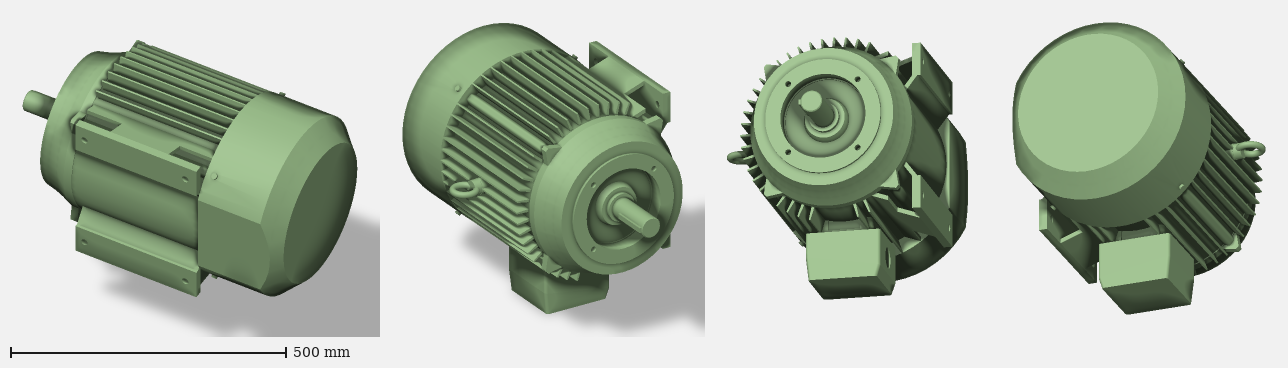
import cadquery as cq
import math


key_start = 2.0
key_end = 74.5
rim_front = 94.0
collar_front = 101.0
shield_front = 99.5
flange_front = 160.0
frame_front = 176.5
fin_front = 181.0
foot_front = 190.0
cover_front = 442.0
cover_bevel_start = 572.0
motor_end = 610.5

shaft_radius = 20.0
shaft_chamfer = key_start
collar_radius = 27.5
key_width = 10.0
key_top = 24.0

rim_radius = 107.5
shield_front_radius = 130.0
shield_middle_radius = 138.0
flange_radius = 151.0
recess_radius = 79.5
recess_step_radius = 77.0
recess_depth = 27.5
recess_step_depth = 29.5
hub_tip_radius = 37.0
hub_root_radius = 42.0
hub_length = 14.5
mount_hole_circle_radius = 91.5
mount_hole_diameter = 11.0
mount_hole_depth = 18.5

frame_radius = 149.0
outer_radius = 174.5
fin_root_radius = 143.5
fin_root_width = 6.0
fin_tip_width = 3.0
fin_pitch = 7.5
last_fin_angle = 112.5
box_clearance_angle = 10.0
diagonals = (45, 135, 225, 315)
lug_root_radius = 143.5
shield_lug_root_width = 51.0
shield_lug_tip_width = 7.5
shield_lug_tip_radius = 174.0
shield_lug_back = 174.5
frame_lug_root_width = 28.0
frame_lug_tip_width = 13.5
frame_lug_tip_radius = 160.5
frame_lug_rounding = 5.0

cover_end_radius = 136.0
cover_flat_y = -154.5
screw_x = 460.5
screw_diameter = 11.0
screw_tip_radius = 179.5

foot_bottom = -160.0
pad_thickness = 16.0
pad_inner_z = 95.0
pad_outer_z = 156.5
web_thickness = 8.0
web_root_y = -71.5
web_root_z = 131.0
window_y = -101.5
web_front = 254.0
web_back = 375.0
foot_hole_x = (209.0, 419.0)
foot_hole_z = 127.0
foot_hole_diameter = 13.5
brace_outer_y = -154.0
brace_root_y = -129.5
brace_root_z = 63.5

box_x = 315.0
box_length = 128.0
box_width = 139.0
box_top = -172.0
box_bottom = -261.0
box_corner = 5.5
lid_seam_upper = -217.5
lid_seam_lower = -240.0
lid_length = 125.0
lid_bottom_upper_y = 65.0
lid_bottom_lower_y = -63.0
knockout_radius = 19.5
knockout_depth = 3.0
knockout_z = -209.5
neck_length = 105.0
neck_corner = 21.5
neck_height = 33.5
neck_taper = 8.0
neck_panel_width = 58.5
neck_panel_bottom = -165.5
neck_panel_distance = 47.5

eye_ring_radius = 21.5
eye_rod_radius = 6.0
eye_center_y = 203.0
eye_collar_radius = 14.5
eye_collar_top = 188.0
eye_boss_radius = 15.0
eye_boss_top = 173.5

pad_top = foot_bottom + pad_thickness
pad_width = pad_outer_z - pad_inner_z
recess_floor = rim_front + recess_step_depth
hub_tip = recess_floor - hub_length


def turned(points):
    """Solid of revolution about the X axis from (x, radius) points."""
    return cq.Workplane("XY").polyline(points).close().revolve(360, (0, 0, 0), (1, 0, 0))


def along_axis(points, start, end):
    """Prism along X from a closed outline of (y, z) points."""
    return cq.Workplane("YZ", origin=(start, 0, 0)).polyline(points).close().extrude(end - start)


def around_axis(solid, angle):
    """Turns a solid about the shaft axis, from +Y towards +Z."""
    return solid.rotate((0, 0, 0), (1, 0, 0), angle)


def tapered_rib(root_radius, root_width, tip_radius, tip_width, start, end):
    """Lengthwise rib standing out in the +Y direction, narrower at its tip."""
    outline = [
        (root_radius, -root_width / 2),
        (tip_radius, -tip_width / 2),
        (tip_radius, tip_width / 2),
        (root_radius, root_width / 2),
    ]
    return along_axis(outline, start, end)


def make_shaft():
    """Output shaft with its collar seated on the hub and its key on the +Y side."""
    shaft = turned(
        [
            (0, 0),
            (0, shaft_radius - shaft_chamfer),
            (shaft_chamfer, shaft_radius),
            (collar_front, shaft_radius),
            (collar_front, collar_radius),
            (hub_tip, collar_radius),
            (hub_tip, 0),
        ]
    )
    key = cq.Workplane("XY").box(key_end - key_start, key_top, key_width, centered=(False, False, True))
    return shaft.union(key.translate((key_start, 0, 0)))


def make_end_shield():
    """Flared end shield with a raised rim, a stepped recess, a hub and mounting holes."""
    shield = (
        cq.Workplane("XY")
        .moveTo(rim_front, 0)
        .lineTo(rim_front, rim_radius)
        .lineTo(shield_front, rim_radius)
        .lineTo(shield_front, shield_front_radius)
        .threePointArc(((shield_front + flange_front) / 2, shield_middle_radius), (flange_front, flange_radius))
        .lineTo(frame_front, flange_radius)
        .lineTo(frame_front, 0)
        .close()
        .revolve(360, (0, 0, 0), (1, 0, 0))
    )
    recess = turned(
        [
            (rim_front, 0),
            (rim_front, recess_radius),
            (rim_front + recess_depth, recess_radius),
            (rim_front + recess_depth, recess_step_radius),
            (recess_floor, recess_step_radius),
            (recess_floor, hub_root_radius),
            (hub_tip, hub_tip_radius),
            (hub_tip, 0),
        ]
    )
    holes = (
        cq.Workplane("YZ", origin=(rim_front, 0, 0))
        .polarArray(mount_hole_circle_radius, diagonals[0], 360, len(diagonals))
        .circle(mount_hole_diameter / 2)
        .extrude(mount_hole_depth)
    )
    shield = shield.cut(recess).cut(holes)
    lug = tapered_rib(
        lug_root_radius,
        shield_lug_root_width,
        shield_lug_tip_radius,
        shield_lug_tip_width,
        flange_front,
        shield_lug_back,
    )
    for angle in diagonals:
        shield = shield.union(around_axis(lug, angle))
    return shield


def make_frame():
    """Finned frame with a lengthwise lug on each diagonal."""
    frame = turned([(frame_front, 0), (frame_front, frame_radius), (cover_front, frame_radius), (cover_front, 0)])
    lug = tapered_rib(
        lug_root_radius,
        frame_lug_root_width,
        frame_lug_tip_radius,
        frame_lug_tip_width,
        frame_front,
        cover_front,
    )
    lug = lug.faces(">Y").edges("|X").fillet(frame_lug_rounding)
    for angle in diagonals:
        frame = frame.union(around_axis(lug, angle))
    fin = tapered_rib(fin_root_radius, fin_root_width, outer_radius, fin_tip_width, fin_front, cover_front)
    last_fin = round(last_fin_angle / fin_pitch)
    for number in range(-last_fin, last_fin + 1):
        angle = number * fin_pitch
        on_lug = abs(angle) == diagonals[0]
        over_box = abs(angle + 90) < box_clearance_angle
        if not on_lug and not over_box:
            frame = frame.union(around_axis(fin, angle))
    return frame


def make_fan_cover():
    """Fan cover with a bevelled end, a flat towards the feet and four screw heads."""
    cover = turned(
        [
            (cover_front, 0),
            (cover_front, outer_radius),
            (cover_bevel_start, outer_radius),
            (motor_end, cover_end_radius),
            (motor_end, 0),
        ]
    )
    below_flat = (
        cq.Workplane("XY")
        .box(motor_end - cover_front, outer_radius, 2 * outer_radius, centered=(False, False, True))
        .translate((cover_front, cover_flat_y - outer_radius, 0))
    )
    cover = cover.cut(below_flat)
    screw = (
        cq.Workplane("XZ", origin=(screw_x, frame_radius, 0))
        .circle(screw_diameter / 2)
        .extrude(frame_radius - screw_tip_radius)
    )
    for angle in diagonals:
        cover = cover.union(around_axis(screw, angle))
    return cover


def make_foot():
    """Foot on the +Z side: a drilled pad held by a sloping web and a short brace."""
    pad = (
        cq.Workplane("XY")
        .box(cover_front - foot_front, pad_thickness, pad_width, centered=False)
        .translate((foot_front, foot_bottom, pad_inner_z))
    )
    holes = (
        cq.Workplane("XZ", origin=(0, pad_top, 0))
        .pushPoints([(x, foot_hole_z) for x in foot_hole_x])
        .circle(foot_hole_diameter / 2)
        .extrude(pad_thickness)
    )

    web_slope = math.atan2(pad_outer_z - web_root_z, web_root_y - pad_top)
    web_height = web_thickness / math.cos(web_slope)
    web_z_at_window = web_root_z + (web_root_y - window_y) * math.tan(web_slope)
    root_strip = along_axis(
        [
            (web_root_y, web_root_z),
            (window_y, web_z_at_window),
            (window_y, web_z_at_window - web_height),
            (web_root_y, web_root_z - web_height),
        ],
        fin_front,
        cover_front,
    )
    web = along_axis(
        [
            (web_root_y, web_root_z),
            (pad_top, pad_outer_z),
            (pad_top, pad_outer_z - web_height),
            (web_root_y, web_root_z - web_height),
        ],
        web_front,
        web_back,
    )

    brace_length = math.hypot(brace_root_y - brace_outer_y, pad_inner_z - brace_root_z)
    brace_step_y = web_thickness * (pad_inner_z - brace_root_z) / brace_length
    brace_step_z = web_thickness * (brace_root_y - brace_outer_y) / brace_length
    brace = along_axis(
        [
            (brace_outer_y, pad_inner_z),
            (brace_root_y, brace_root_z),
            (brace_root_y + brace_step_y, brace_root_z + brace_step_z),
            (brace_outer_y + brace_step_y, pad_inner_z + brace_step_z),
        ],
        foot_front,
        cover_front,
    )
    return pad.cut(holes).union(root_strip).union(web).union(brace)


def make_neck():
    """Tapered neck between frame and terminal box, with an upright sunk panel on each side."""
    neck = (
        cq.Workplane("XY", origin=(box_x, 0, box_top))
        .sketch()
        .rect(neck_length, neck_length)
        .vertices()
        .fillet(neck_corner)
        .finalize()
        .extrude(neck_height, taper=neck_taper)
    )
    panel_cut = (
        cq.Workplane("XY")
        .box(neck_corner, neck_panel_width, neck_height, centered=(False, True, False))
        .translate((neck_panel_distance, 0, neck_panel_bottom))
    )
    for angle in (0, 90, 180, 270):
        turned_cut = panel_cut.rotate((0, 0, 0), (0, 0, 1), angle)
        neck = neck.cut(turned_cut.translate((box_x, 0, 0)))
    return neck


def make_terminal_box():
    """Terminal box on a rounded neck, closed by a tapered lid along a sloping seam."""
    half_width = box_width / 2
    body = along_axis(
        [
            (half_width, box_top),
            (half_width, lid_seam_upper),
            (-half_width, lid_seam_lower),
            (-half_width, box_top),
        ],
        box_x - box_length / 2,
        box_x + box_length / 2,
    )
    body = body.edges("|Z").fillet(box_corner)

    seam_outline = body.faces("<Z").val().outerWire()
    bottom_center_y = (lid_bottom_upper_y + lid_bottom_lower_y) / 2
    bottom_outline = (
        cq.Workplane("XY", origin=(box_x, bottom_center_y, box_bottom))
        .sketch()
        .rect(lid_length, lid_bottom_upper_y - lid_bottom_lower_y)
        .vertices()
        .fillet(box_corner)
        .finalize()
        .extrude(6)
        .faces("<Z")
        .val()
        .outerWire()
    )
    body = body.union(cq.Workplane(cq.Solid.makeLoft([seam_outline, bottom_outline], True)))

    knockout = (
        cq.Workplane("XZ", origin=(box_x, -half_width, knockout_z))
        .circle(knockout_radius)
        .extrude(-knockout_depth)
    )
    return body.cut(knockout).union(make_neck())


def make_lifting_eye():
    """Lifting eye: a ring on a collar, standing on a boss of the frame."""
    boss = (
        cq.Workplane("XZ", origin=(box_x, eye_boss_top, 0))
        .circle(eye_boss_radius)
        .extrude(eye_boss_top - fin_root_radius)
    )
    collar = (
        cq.Workplane("XZ", origin=(box_x, eye_collar_top, 0))
        .circle(eye_collar_radius)
        .extrude(eye_collar_top - eye_boss_top)
    )
    ring = cq.Workplane(
        cq.Solid.makeTorus(eye_ring_radius, eye_rod_radius, cq.Vector(box_x, eye_center_y, 0), cq.Vector(0, 0, 1))
    )
    return boss.union(collar).union(ring)


def make_housing():
    """The motor without its shaft, as one solid."""
    foot = make_foot()
    housing = make_frame()
    housing = housing.union(make_end_shield())
    housing = housing.union(make_fan_cover())
    housing = housing.union(foot).union(foot.mirror("XY"))
    return housing.union(make_terminal_box()).union(make_lifting_eye())


housing = make_housing()
shaft = make_shaft()

result = cq.Compound.makeCompound([housing.val(), shaft.val()])